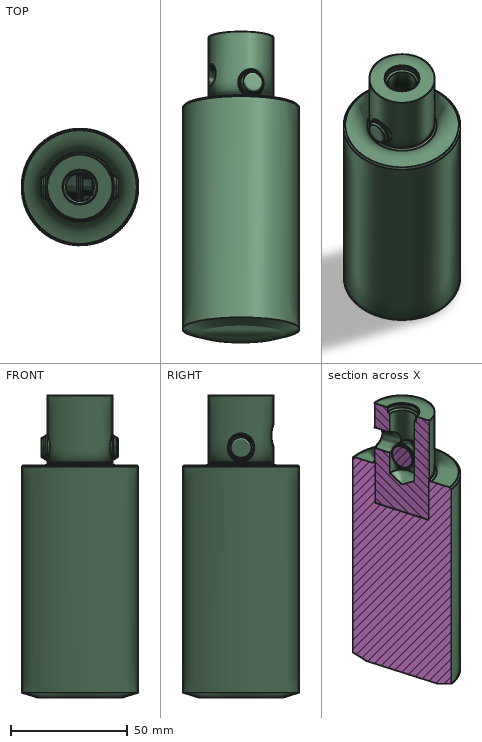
import cadquery as cq

total_height = 130.0
shoulder_z = 100.0

grip_diameter = 50.3
grip_radius = grip_diameter / 2
grip_base_radius = 18.1
grip_base_taper = 2.2
grip_top_chamfer = 0.8
boss_radius = 15.0
boss_top_radius = 13.9
boss_height = 0.5

stem_radius = 14.0
spigot_radius = 13.5
stem_foot_chamfer_height = 0.6
spigot_depth = 19.5
bore_radius = 6.1
bore_end_z = 97.5
bore_tip_height = 3.6
counterbore_radius = 7.2
counterbore_depth = 2.2
counterbore_cone_height = 0.6
counterbore_chamfer = 0.4
side_hole_radius = 5.0
side_hole_z = total_height - 17.3

pin_z = total_height - 22.5
pin_center_x = -0.1
pin_half_length = 16.5
pin_radius = 5.5
pin_hole_cone_start = 12.2
pin_hole_cone_end = 14.3
pin_hole_mouth_radius = 6.2
pin_face_radius = 3.5
pin_nose_radius = 4.4
pin_nose_rounding = 0.8
pin_nose_arc_radius = 0.9
pin_shoulder_radius = 5.2
pin_cone_end = 14.7
pin_barrel_end = 13.9
neck_radius = 3.6
neck_start = 1.4
neck_end = 5.3
neck_fillet = 0.4
groove_depth = 0.8
groove_center = -0.4
groove_half_width = 0.8

boss_top_z = shoulder_z + boss_height
spigot_end_z = shoulder_z - spigot_depth


def make_grip():
    """Round grip with a tapered base, a low conical boss and a socket for the stem."""
    profile = (
        cq.Workplane("XZ")
        .moveTo(0, 0)
        .lineTo(grip_base_radius, 0)
        .lineTo(grip_radius, grip_base_taper)
        .lineTo(grip_radius, shoulder_z - grip_top_chamfer)
        .lineTo(grip_radius - grip_top_chamfer, shoulder_z)
        .lineTo(boss_radius, shoulder_z)
        .lineTo(boss_top_radius, boss_top_z)
        .lineTo(spigot_radius, boss_top_z)
        .lineTo(spigot_radius, spigot_end_z)
        .lineTo(0, spigot_end_z)
        .close()
    )
    return profile.revolve(360, (0, 0), (0, 1))


def make_stem():
    """Hollow stem with a spigot below, a blind bore, a pin hole and a side hole."""
    stem_foot_z = boss_top_z + stem_foot_chamfer_height
    ledge_z = total_height - counterbore_depth
    profile = (
        cq.Workplane("XZ")
        .moveTo(0, spigot_end_z)
        .lineTo(spigot_radius, spigot_end_z)
        .lineTo(spigot_radius, boss_top_z)
        .lineTo(stem_radius, stem_foot_z)
        .lineTo(stem_radius, total_height)
        .lineTo(counterbore_radius + counterbore_chamfer, total_height)
        .lineTo(counterbore_radius, total_height - counterbore_chamfer)
        .lineTo(counterbore_radius, ledge_z)
        .lineTo(bore_radius, ledge_z - counterbore_cone_height)
        .lineTo(bore_radius, bore_end_z)
        .lineTo(0, bore_end_z - bore_tip_height)
        .close()
    )
    stem = profile.revolve(360, (0, 0), (0, 1))
    pin_hole = (
        cq.Workplane("XY")
        .moveTo(-pin_hole_cone_end, 0)
        .lineTo(-pin_hole_cone_end, pin_hole_mouth_radius)
        .lineTo(-pin_hole_cone_start, pin_radius)
        .lineTo(pin_hole_cone_start, pin_radius)
        .lineTo(pin_hole_cone_end, pin_hole_mouth_radius)
        .lineTo(pin_hole_cone_end, 0)
        .close()
        .revolve(360, (0, 0), (1, 0))
        .translate((0, 0, pin_z))
    )
    side_hole = (
        cq.Workplane("XZ").center(0, side_hole_z).circle(side_hole_radius).extrude(-stem_radius)
    )
    return stem.cut(pin_hole).cut(side_hole)


def make_pin():
    """Spool-shaped locking pin with tapered, rounded ends, one deep neck and one narrow groove."""
    nose_x = pin_half_length - pin_nose_rounding
    groove_radius = pin_radius - groove_depth
    profile = (
        cq.Workplane("XY")
        .moveTo(-pin_half_length, 0)
        .lineTo(-pin_half_length, pin_face_radius)
        .radiusArc((-nose_x, pin_nose_radius), pin_nose_arc_radius)
        .lineTo(-pin_cone_end, pin_shoulder_radius)
        .lineTo(-pin_barrel_end, pin_radius)
        .lineTo(groove_center - groove_half_width, pin_radius)
        .lineTo(groove_center, groove_radius)
        .lineTo(groove_center + groove_half_width, pin_radius)
        .lineTo(neck_start, pin_radius)
        .lineTo(neck_start, neck_radius + neck_fillet)
        .radiusArc((neck_start + neck_fillet, neck_radius), -neck_fillet)
        .lineTo(neck_end - neck_fillet, neck_radius)
        .radiusArc((neck_end, neck_radius + neck_fillet), -neck_fillet)
        .lineTo(neck_end, pin_radius)
        .lineTo(pin_barrel_end, pin_radius)
        .lineTo(pin_cone_end, pin_shoulder_radius)
        .lineTo(nose_x, pin_nose_radius)
        .radiusArc((pin_half_length, pin_face_radius), pin_nose_arc_radius)
        .lineTo(pin_half_length, 0)
        .close()
    )
    return profile.revolve(360, (0, 0), (1, 0)).translate((pin_center_x, 0, pin_z))


grip = make_grip()
stem = make_stem()
pin = make_pin()

result = cq.Compound.makeCompound([grip.val(), stem.val(), pin.val()])